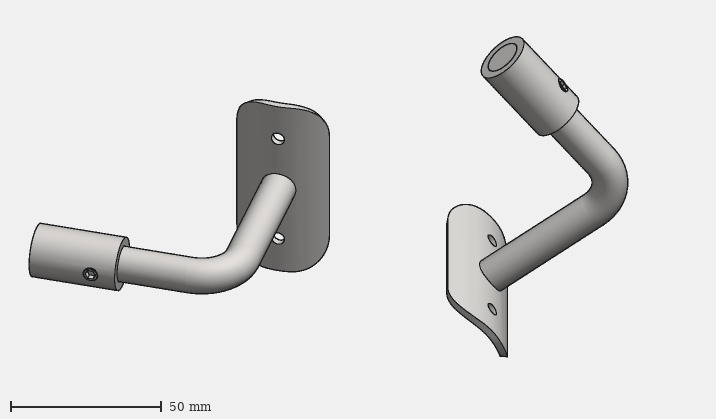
import cadquery as cq
import math

sleeve_diameter = 18.0
sleeve_length = 29.6
sleeve_bore_diameter = 12.2

rod_diameter = 12.0
bend_radius = 14.0
upright_x = 67.1

plate_height = 66.0
plate_inner_radius = 21.2
plate_thickness = 2.5
plate_half_width = 16.0
plate_front_y = 56.6
plate_corner_radius = 13.0
plate_hole_diameter = 4.5
plate_hole_spacing = 40.05

screw_diameter = 4.65
screw_hole_diameter = 5.0
screw_x = 21.2
hex_across_flats = 3.1
hex_depth = 2.0

rod_radius = rod_diameter / 2
sleeve_radius = sleeve_diameter / 2
plate_outer_radius = plate_inner_radius + plate_thickness
plate_axis_y = plate_front_y + plate_outer_radius
plate_half_angle = math.asin(plate_half_width / plate_outer_radius)


def plate_point(radius, angle):
    """Point on the plate section, with the angle measured from the crown."""
    return (upright_x + radius * math.sin(angle), plate_axis_y - radius * math.cos(angle))


def corner_waste(side, end):
    """Material outside one rounded corner, rounded about the radial line of the plate's end face."""
    angle = side * plate_half_angle
    corner_plane = cq.Plane(
        origin=(*plate_point(plate_outer_radius, angle), end * plate_height / 2),
        xDir=(math.cos(angle), math.sin(angle), 0),
        normal=(math.sin(angle), -math.cos(angle), 0),
    )
    inward = -side * plate_corner_radius
    endward = -end * plate_corner_radius
    mid_arc = 1 - math.sqrt(0.5)
    return (
        cq.Workplane(corner_plane)
        .moveTo(inward, 0)
        .threePointArc((inward * mid_arc, endward * mid_arc), (0, endward))
        .lineTo(0, 0)
        .close()
        .extrude(plate_outer_radius, both=True)
    )


def make_plate():
    plate = (
        cq.Workplane("XY", origin=(0, 0, -plate_height / 2))
        .moveTo(*plate_point(plate_outer_radius, -plate_half_angle))
        .threePointArc(
            plate_point(plate_outer_radius, 0),
            plate_point(plate_outer_radius, plate_half_angle),
        )
        .lineTo(*plate_point(plate_inner_radius, plate_half_angle))
        .threePointArc(
            plate_point(plate_inner_radius, 0),
            plate_point(plate_inner_radius, -plate_half_angle),
        )
        .close()
        .extrude(plate_height)
    )
    for side in (-1, 1):
        for end in (-1, 1):
            plate = plate.cut(corner_waste(side, end))
    holes = (
        cq.Workplane("XZ", origin=(upright_x, plate_axis_y, 0))
        .pushPoints([(0, -plate_hole_spacing / 2), (0, plate_hole_spacing / 2)])
        .circle(plate_hole_diameter / 2)
        .extrude(plate_outer_radius)
    )
    return plate.cut(holes)


def make_rod():
    bend_start_x = upright_x - bend_radius
    diagonal = bend_radius * math.sqrt(0.5)
    path = (
        cq.Workplane("XY")
        .lineTo(bend_start_x, 0)
        .threePointArc(
            (bend_start_x + diagonal, bend_radius - diagonal),
            (upright_x, bend_radius),
        )
        .lineTo(upright_x, plate_front_y + plate_thickness / 2)
    )
    return cq.Workplane("YZ").circle(rod_radius).sweep(path)


def make_bracket():
    """Plate and rod welded into one body, with the rod ending inside the plate."""
    return make_plate().union(make_rod())


def screw_cylinder(diameter):
    """Cylinder along the screw axis, from the rod surface out to the sleeve's tangent plane."""
    full_length = (
        cq.Workplane("XZ", origin=(screw_x, 0, 0))
        .circle(diameter / 2)
        .extrude(sleeve_radius)
    )
    rod_space = cq.Workplane("YZ").circle(rod_radius).extrude(sleeve_length)
    return full_length.cut(rod_space)


def make_sleeve():
    sleeve = (
        cq.Workplane("YZ")
        .circle(sleeve_radius)
        .circle(sleeve_bore_diameter / 2)
        .extrude(sleeve_length)
    )
    return sleeve.cut(screw_cylinder(screw_hole_diameter))


def make_set_screw():
    hex_corner_diameter = hex_across_flats / math.cos(math.pi / 6)
    socket = (
        cq.Workplane("XZ", origin=(screw_x, -sleeve_radius, 0))
        .polygon(6, hex_corner_diameter)
        .extrude(-hex_depth)
    )
    return screw_cylinder(screw_diameter).cut(socket)


bracket = make_bracket()
sleeve = make_sleeve()
set_screw = make_set_screw()

result = cq.Compound.makeCompound([
    bracket.solids().val(),
    sleeve.solids().val(),
    set_screw.solids().val(),
])